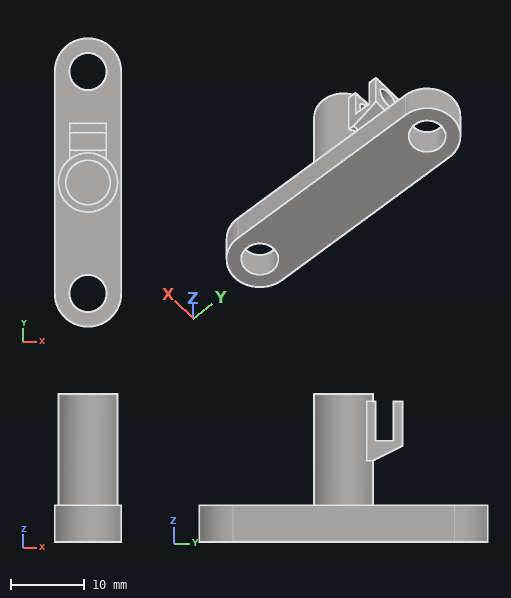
import cadquery as cq

plate_length = 39.0
plate_width = 9.0
plate_thickness = 5.0
mount_hole_diameter = 5.0
mount_hole_spacing = plate_length - plate_width

total_height = 20.0
tube_diameter = 8.0
bore_diameter = 6.0
tube_radius = tube_diameter / 2

bracket_width = 5.0
bracket_reach = 8.0
lip_thickness = 1.25
slot_width = 2.4
slot_depth = 5.3
bracket_top = total_height - 1.0
bracket_bottom = 11.0
lip_bottom = 13.0

cross_hole_diameter = 3.2
cross_hole_height = 16.65


def make_plate():
    plate = cq.Workplane("XY").slot2D(plate_length, plate_width, 90).extrude(plate_thickness)
    return (
        plate.faces(">Z").workplane()
        .pushPoints([(0, -mount_hole_spacing / 2), (0, mount_hole_spacing / 2)])
        .hole(mount_hole_diameter)
    )


def make_cylinder(diameter):
    tube_height = total_height - plate_thickness
    return cq.Workplane("XY").workplane(offset=plate_thickness).circle(diameter / 2).extrude(tube_height)


def make_bracket():
    slot_outer = bracket_reach - lip_thickness
    slot_inner = slot_outer - slot_width
    slot_floor = bracket_top - slot_depth
    profile = [
        (0, bracket_bottom),
        (tube_radius, bracket_bottom),
        (bracket_reach, lip_bottom),
        (bracket_reach, bracket_top),
        (slot_outer, bracket_top),
        (slot_outer, slot_floor),
        (slot_inner, slot_floor),
        (slot_inner, bracket_top),
        (0, bracket_top),
    ]
    return cq.Workplane("YZ").polyline(profile).close().extrude(bracket_width / 2, both=True)


def make_cross_hole():
    return (
        cq.Workplane("XZ").center(0, cross_hole_height)
        .circle(cross_hole_diameter / 2).extrude(-bracket_reach)
    )


body = make_plate().union(make_cylinder(tube_diameter)).union(make_bracket())
result = body.cut(make_cylinder(bore_diameter)).cut(make_cross_hole())